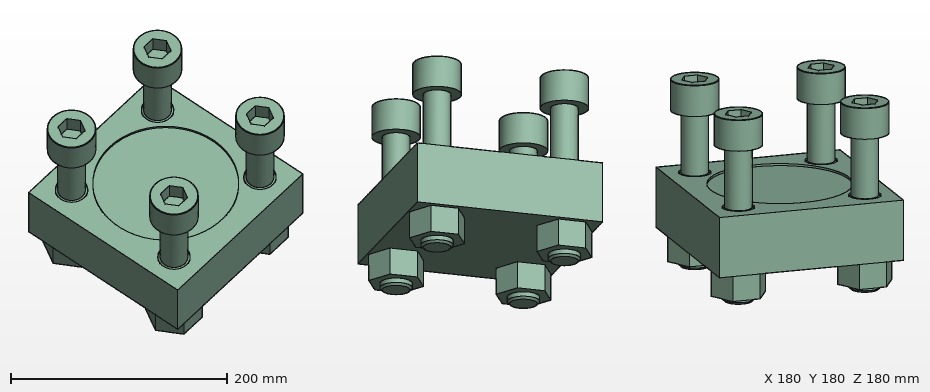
import cadquery as cq

SIDE = 180.0
HEIGHT = 180.0
BOLT_SPACING = 123.7

PLATE_BOTTOM = 32.0
PLATE_THICKNESS = 58.0
PLATE_TOP = PLATE_BOTTOM + PLATE_THICKNESS
RECESS_DIAMETER = 135.0
RECESS_DEPTH = 2.0

NUT_FLATS = 46.0
NUT_HEIGHT = 25.5

HEAD_DIAMETER = 45.0
HEAD_HEIGHT = 30.0
HEAD_CHAMFER = 0.5
SOCKET_FLATS = 22.0
SOCKET_DEPTH = 15.5
SHANK_DIAMETER = 25.7
THREAD_DIAMETER = 30.0
THREAD_CHAMFER = (THREAD_DIAMETER - SHANK_DIAMETER) / 2


def hexagon_prism(across_flats, height, bottom):
    """Upright hexagonal prism with two of its flats facing along X."""
    return (
        cq.Workplane("XY", origin=(0, 0, bottom))
        .polygon(6, across_flats, circumscribed=True)
        .extrude(height)
    )


def make_plate():
    plate = cq.Workplane("XY", origin=(0, 0, PLATE_BOTTOM)).rect(SIDE, SIDE).extrude(PLATE_THICKNESS)
    plate = plate.faces(">Z").workplane().hole(RECESS_DIAMETER, RECESS_DEPTH)
    bolt_holes = (
        cq.Workplane("XY", origin=(0, 0, PLATE_BOTTOM))
        .rect(BOLT_SPACING, BOLT_SPACING, forConstruction=True)
        .vertices()
        .circle(THREAD_DIAMETER / 2)
        .extrude(PLATE_THICKNESS)
    )
    return plate.cut(bolt_holes)


def make_bolt():
    """Bolt turned from a half profile, with its hexagon socket and its nut."""
    shank_radius = SHANK_DIAMETER / 2
    thread_radius = THREAD_DIAMETER / 2
    head_radius = HEAD_DIAMETER / 2
    head_bottom = HEIGHT - HEAD_HEIGHT
    bolt = (
        cq.Workplane("XZ")
        .moveTo(0, 0)
        .lineTo(thread_radius - THREAD_CHAMFER, 0)
        .lineTo(thread_radius, THREAD_CHAMFER)
        .lineTo(thread_radius, PLATE_TOP - THREAD_CHAMFER)
        .lineTo(shank_radius, PLATE_TOP)
        .lineTo(shank_radius, head_bottom)
        .lineTo(head_radius, head_bottom)
        .lineTo(head_radius, HEIGHT - HEAD_CHAMFER)
        .lineTo(head_radius - HEAD_CHAMFER, HEIGHT)
        .lineTo(0, HEIGHT)
        .close()
        .revolve(360, (0, 0, 0), (0, 1, 0))
    )
    socket = hexagon_prism(SOCKET_FLATS, SOCKET_DEPTH, HEIGHT - SOCKET_DEPTH)
    nut = hexagon_prism(NUT_FLATS, NUT_HEIGHT, PLATE_BOTTOM - NUT_HEIGHT)
    return bolt.cut(socket).union(nut)


result = make_plate()
bolt_with_nut = make_bolt()
for x_side in (-1, 1):
    for y_side in (-1, 1):
        bolt_place = (x_side * BOLT_SPACING / 2, y_side * BOLT_SPACING / 2, 0)
        result = result.union(bolt_with_nut.translate(bolt_place))